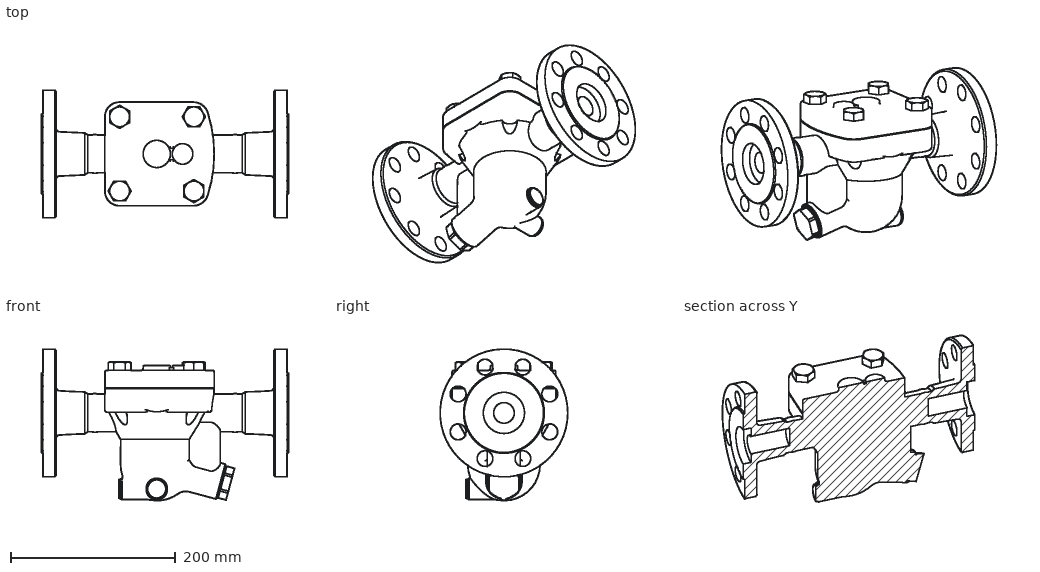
import cadquery as cq
import math

LENGTH = 300.0
FLANGE_DIA = 155.0
FLANGE_THICKNESS = 16.2
FLANGE_CHAMFER = 2.0
RAISED_FACE_DIA = 96.0
RAISED_FACE_HEIGHT = 2.0
BOLT_HOLE_DIA = 19.0
BOLT_CIRCLE_DIA = 120.0
BOLT_HOLE_COUNT = 8
HUB_FILLET = 4.0
HUB_ROOT_RADIUS = 27.0
HUB_TIP_RADIUS = 25.6
HUB_ROOT_X = 128.0
HUB_TIP_X = 97.5
HUB_TAPER_END_X = 93.5
PIPE_DIA = 46.0
WELD_OUTER_X = 88.7
WELD_INNER_X = 81.2
WELD_HEIGHT = 0.7
SOCKET_DIA = 50.0
SOCKET_DEPTH = 10.0
BORE_DIA = 25.0
BORE_END_X = 90.0

AXIS_X = -10.0
BODY_RADIUS = 44.0
BOWL_CENTRE_Z = -62.5
SHOULDER_Z = -32.2
CONE_BREAK_RADIUS = 51.5
CONE_BREAK_Z = -19.0
CONE_TOP_RADIUS = 64.7
CONE_TOP_Z = 4.4

BOLT_HALF_PITCH = 45.0
CORNER_RADIUS = 18.0
BOW_CORNER_RADIUS = 19.0
BOW_REACH = 69.8
BOW_REACH_BOTTOM = 67.5
BLOCK_BOTTOM_Z = 0.5
BLOCK_EDGE_FILLET = 3.5
JOINT_Z = 29.2
GASKET_THICKNESS = 1.0
GASKET_INSET = 0.2
COVER_TOP_Z = 51.6
COVER_EDGE_FILLET = 2.5
SPOTFACE_DIA = 19.0
SPOTFACE_DEPTH = 20.0

BOLT_ACROSS_FLATS = 24.0
BOLT_HEAD_HEIGHT = 10.2
HEAD_CHAMFER_HEIGHT = 1.2

PAD_HEIGHT = 6.0
LARGE_PAD_DIA = 33.0
SMALL_PAD_DIA = 25.0
PAD_SPACING = 31.3
PAD_BASE_FILLET = 3.0
PAD_EDGE_FILLET = 1.7
WEB_WIDTH = 13.6
WEB_HEIGHT = 3.4
PIN_DIA = 7.0
PIN_Z = 44.0
PIN_INSET = 0.8

BOSS_HALF_WIDTH = 20.0
BOSS_TOP_Z = 8.0
BOSS_BOTTOM_Z = -76.0
BOSS_END_X = 67.0
BOSS_CORNER_RADIUS = 12.0
NECK_TILT = 15.0
NECK_DIA = 44.0
NECK_LENGTH = 81.0
NECK_CHAMFER = 1.0
NECK_BLEND = 16.5
CAP_SEAL_DIA = 38.0
CAP_SEAL_THICKNESS = 1.5
CAP_ACROSS_FLATS = 36.0
CAP_CORNER_DIA = 40.0
CAP_HEIGHT = 9.9

DRAIN_DIA = 26.0
DRAIN_SHANK_LENGTH = 42.0
DRAIN_RIM_DIA = 25.0
DRAIN_RIM_LENGTH = 1.5
DRAIN_PLUG_DIA = 24.0
DRAIN_REACH = 46.0
DRAIN_CHAMFER = 1.0
DRAIN_Z = -92.2
DRAIN_FILLET = 3.5

HEX_CORNER_RATIO = 2 / math.sqrt(3)
PICK_MARGIN = 0.1


def cylinder(radius, height, origin, direction):
    return cq.Workplane(cq.Solid.makeCylinder(radius, height, cq.Vector(*origin), cq.Vector(*direction)))


def cone(base_radius, tip_radius, height, origin, direction):
    solid = cq.Solid.makeCone(base_radius, tip_radius, height, cq.Vector(*origin), cq.Vector(*direction))
    return cq.Workplane(solid)


def end_pipe():
    """Flanged pipe end on the +X side, from X = 0 to the sealing face."""
    face_x = LENGTH / 2
    flange_x = face_x - RAISED_FACE_HEIGHT
    flange_back_x = flange_x - FLANGE_THICKNESS
    flange_radius = FLANGE_DIA / 2
    pipe_radius = PIPE_DIA / 2
    weld_middle_x = (WELD_OUTER_X + WELD_INNER_X) / 2
    hub_fillet_middle = (
        flange_back_x - HUB_FILLET * (1 - math.sqrt(0.5)),
        HUB_ROOT_RADIUS + HUB_FILLET * (1 - math.sqrt(0.5)),
    )
    profile = (
        cq.Workplane("XY")
        .moveTo(0, 0)
        .lineTo(face_x, 0)
        .lineTo(face_x, RAISED_FACE_DIA / 2)
        .lineTo(flange_x, RAISED_FACE_DIA / 2 + RAISED_FACE_HEIGHT / 2)
        .lineTo(flange_x, flange_radius)
        .lineTo(flange_back_x + FLANGE_CHAMFER, flange_radius)
        .lineTo(flange_back_x, flange_radius - FLANGE_CHAMFER)
        .lineTo(flange_back_x, HUB_ROOT_RADIUS + HUB_FILLET)
        .threePointArc(hub_fillet_middle, (HUB_ROOT_X, HUB_ROOT_RADIUS))
        .lineTo(HUB_TIP_X, HUB_TIP_RADIUS)
        .lineTo(HUB_TAPER_END_X, pipe_radius)
        .lineTo(WELD_OUTER_X, pipe_radius)
        .threePointArc((weld_middle_x, pipe_radius + WELD_HEIGHT), (WELD_INNER_X, pipe_radius))
        .lineTo(0, pipe_radius)
        .close()
    )
    pipe = profile.revolve(360, (0, 0, 0), (1, 0, 0))
    for index in range(BOLT_HOLE_COUNT):
        angle = 2 * math.pi * (index + 0.5) / BOLT_HOLE_COUNT
        hole_y = BOLT_CIRCLE_DIA / 2 * math.cos(angle)
        hole_z = BOLT_CIRCLE_DIA / 2 * math.sin(angle)
        hole = cylinder(BOLT_HOLE_DIA / 2, FLANGE_THICKNESS, (flange_back_x, hole_y, hole_z), (1, 0, 0))
        pipe = pipe.cut(hole)
    return pipe


def end_bore():
    """Stepped blind bore of the +X pipe end."""
    socket = cylinder(SOCKET_DIA / 2, SOCKET_DEPTH, (LENGTH / 2, 0, 0), (-1, 0, 0))
    bore = cylinder(BORE_DIA / 2, LENGTH / 2 - BORE_END_X, (LENGTH / 2, 0, 0), (-1, 0, 0))
    return socket.union(bore)


def block_outline(z, bow_reach, inset=0.0):
    """Square with rounded corners whose +X side is a wide bow tangent to its corner arcs."""
    pitch = BOLT_HALF_PITCH
    corner = CORNER_RADIUS - inset
    bow_corner = BOW_CORNER_RADIUS - inset
    reach = bow_reach - inset
    side = pitch + corner
    bow_pitch = side - bow_corner
    gap = reach - bow_pitch
    bow_radius = (gap**2 + bow_pitch**2 - bow_corner**2) / (2 * (gap - bow_corner))
    bow_centre = reach - bow_radius
    bow_angle = math.atan2(bow_pitch, bow_pitch - bow_centre)
    join_x = bow_centre + bow_radius * math.cos(bow_angle)
    join_y = bow_radius * math.sin(bow_angle)
    corner_middle = (math.pi / 2 + bow_angle) / 2
    near_x = bow_pitch + bow_corner * math.cos(corner_middle)
    near_y = bow_pitch + bow_corner * math.sin(corner_middle)
    far = pitch + corner * math.sqrt(0.5)
    return (
        cq.Workplane("XY", origin=(AXIS_X, 0, z))
        .moveTo(-pitch, -side)
        .lineTo(bow_pitch, -side)
        .threePointArc((near_x, -near_y), (join_x, -join_y))
        .threePointArc((reach, 0), (join_x, join_y))
        .threePointArc((near_x, near_y), (bow_pitch, side))
        .lineTo(-pitch, side)
        .threePointArc((-far, far), (-side, pitch))
        .lineTo(-side, -pitch)
        .threePointArc((-far, -far), (-pitch, -side))
        .close()
    )


def lower_block():
    """Upper flange of the body; only its bowed +X side is drafted."""
    bottom = block_outline(BLOCK_BOTTOM_Z, BOW_REACH_BOTTOM).val()
    top = block_outline(JOINT_Z, BOW_REACH).val()
    block = cq.Workplane(cq.Solid.makeLoft([bottom, top], True))
    return block.faces("<Z").edges().fillet(BLOCK_EDGE_FILLET)


def cover_plate():
    cover_z = JOINT_Z + GASKET_THICKNESS
    plate = block_outline(cover_z, BOW_REACH).extrude(COVER_TOP_Z - cover_z)
    return plate.faces(">Z").edges().fillet(COVER_EDGE_FILLET)


def cover():
    """Cover on its gasket, with two round pads joined by a low web and blended into the top."""
    small_x = AXIS_X + PAD_SPACING
    large = cylinder(LARGE_PAD_DIA / 2, PAD_HEIGHT, (AXIS_X, 0, COVER_TOP_Z), (0, 0, 1))
    small = cylinder(SMALL_PAD_DIA / 2, PAD_HEIGHT, (small_x, 0, COVER_TOP_Z), (0, 0, 1))
    web = cq.Workplane("XY", origin=(AXIS_X + PAD_SPACING / 2, 0, COVER_TOP_Z))
    web = web.rect(PAD_SPACING, WEB_WIDTH).extrude(WEB_HEIGHT)
    body = cover_plate().union(large).union(small).union(web)
    base = cq.selectors.BoxSelector(
        (AXIS_X - LARGE_PAD_DIA, -LARGE_PAD_DIA, COVER_TOP_Z - PICK_MARGIN),
        (small_x + SMALL_PAD_DIA, LARGE_PAD_DIA, COVER_TOP_Z + PICK_MARGIN),
    )
    body = body.edges(base).fillet(PAD_BASE_FILLET)
    body = body.faces(">Z").edges().fillet(PAD_EDGE_FILLET)
    gasket = block_outline(JOINT_Z, BOW_REACH, GASKET_INSET).extrude(GASKET_THICKNESS)
    return body.union(gasket)


def neck_body():
    """Vertical body: cone, cylinder and hemispherical bowl, clipped to the block outline."""
    bowl_offset = BODY_RADIUS * math.sqrt(0.5)
    body = (
        cq.Workplane("XZ", origin=(AXIS_X, 0, 0))
        .moveTo(0, BOWL_CENTRE_Z - BODY_RADIUS)
        .threePointArc((bowl_offset, BOWL_CENTRE_Z - bowl_offset), (BODY_RADIUS, BOWL_CENTRE_Z))
        .lineTo(BODY_RADIUS, SHOULDER_Z)
        .lineTo(CONE_BREAK_RADIUS, CONE_BREAK_Z)
        .lineTo(CONE_TOP_RADIUS, CONE_TOP_Z)
        .lineTo(0, CONE_TOP_Z)
        .close()
        .revolve(360, (0, 0, 0), (0, 1, 0))
    )
    bottom_z = BOWL_CENTRE_Z - BODY_RADIUS
    clip = block_outline(bottom_z, BOW_REACH_BOTTOM).extrude(CONE_TOP_Z - bottom_z)
    return body.intersect(clip)


def bolt_positions():
    """Bolt centres in order around the body axis, each with its quarter-turn angle."""
    diagonal = BOLT_HALF_PITCH * math.sqrt(2)
    for quarter in range(4):
        turn = 90 * quarter
        angle = math.radians(turn + 45)
        yield AXIS_X + diagonal * math.cos(angle), diagonal * math.sin(angle), turn


def bolt_head(x, y, turn):
    """Hexagon head with its top corners turned down to the width across flats."""
    corner_dia = BOLT_ACROSS_FLATS * HEX_CORNER_RATIO
    head = (
        cq.Workplane("XY", origin=(x, y, COVER_TOP_Z))
        .transformed(rotate=(0, 0, turn))
        .polygon(6, corner_dia)
        .extrude(BOLT_HEAD_HEIGHT)
    )
    shank_height = BOLT_HEAD_HEIGHT - HEAD_CHAMFER_HEIGHT
    shank = cylinder(corner_dia / 2, shank_height, (x, y, COVER_TOP_Z), (0, 0, 1))
    crown_base = (x, y, COVER_TOP_Z + shank_height)
    crown = cone(corner_dia / 2, BOLT_ACROSS_FLATS / 2, HEAD_CHAMFER_HEIGHT, crown_base, (0, 0, 1))
    return head.intersect(shank.union(crown))


def spotface(x, y):
    return cylinder(SPOTFACE_DIA / 2, SPOTFACE_DEPTH, (x, y, BLOCK_BOTTOM_Z), (0, 0, -1))


def end_pin():
    pin_x = AXIS_X + BOW_REACH - PIN_INSET
    return cq.Workplane("XY").sphere(PIN_DIA / 2).translate((pin_x, 0, PIN_Z))


def side_boss():
    """Upright boss under the outlet pipe, running down into the inclined neck."""
    boss_length = BOSS_END_X - AXIS_X
    return (
        cq.Workplane("XY", origin=(AXIS_X + boss_length / 2, 0, BOSS_TOP_Z))
        .rect(boss_length, 2 * BOSS_HALF_WIDTH)
        .extrude(BOSS_BOTTOM_Z - BOSS_TOP_Z)
        .edges("|Z and >X")
        .fillet(BOSS_CORNER_RADIUS)
    )


def strainer_neck():
    """Inclined neck blended into the bowl, with its sealed hexagon cap."""
    radius = NECK_DIA / 2
    blend_r = radius + NECK_BLEND
    blend_x = math.sqrt((BODY_RADIUS + NECK_BLEND) ** 2 - blend_r**2)
    share = BODY_RADIUS / (BODY_RADIUS + NECK_BLEND)
    middle_angle = (math.atan2(blend_r, blend_x) + math.pi / 2) / 2
    middle = (blend_x - NECK_BLEND * math.cos(middle_angle), blend_r - NECK_BLEND * math.sin(middle_angle))
    neck = (
        cq.Workplane("XY")
        .moveTo(0, 0)
        .lineTo(NECK_LENGTH, 0)
        .lineTo(NECK_LENGTH, radius - NECK_CHAMFER)
        .lineTo(NECK_LENGTH - NECK_CHAMFER, radius)
        .lineTo(blend_x, radius)
        .threePointArc(middle, (share * blend_x, share * blend_r))
        .close()
        .revolve(360, (0, 0, 0), (1, 0, 0))
    )
    cap_x = NECK_LENGTH + CAP_SEAL_THICKNESS
    seal = cylinder(CAP_SEAL_DIA / 2, CAP_SEAL_THICKNESS, (NECK_LENGTH, 0, 0), (1, 0, 0))
    hexagon = (
        cq.Workplane("YZ", origin=(cap_x, 0, 0))
        .transformed(rotate=(0, 0, 90))
        .polygon(6, CAP_ACROSS_FLATS * HEX_CORNER_RATIO)
        .extrude(CAP_HEIGHT)
    )
    cap = hexagon.intersect(cylinder(CAP_CORNER_DIA / 2, CAP_HEIGHT, (cap_x, 0, 0), (1, 0, 0)))
    neck = neck.union(seal).union(cap)
    return neck.rotate((0, 0, 0), (0, 1, 0), NECK_TILT).translate((AXIS_X, 0, BOWL_CENTRE_Z))


def drain(turn):
    """Horizontal drain boss with a chamfered plug, pointing along -X and then turned about Z."""
    rim_end = DRAIN_SHANK_LENGTH + DRAIN_RIM_LENGTH
    plug_radius = DRAIN_PLUG_DIA / 2
    boss = (
        cq.Workplane("XY")
        .moveTo(0, 0)
        .lineTo(0, DRAIN_DIA / 2)
        .lineTo(-DRAIN_SHANK_LENGTH, DRAIN_DIA / 2)
        .lineTo(-rim_end, DRAIN_RIM_DIA / 2)
        .lineTo(-rim_end, plug_radius)
        .lineTo(-DRAIN_REACH + DRAIN_CHAMFER, plug_radius)
        .lineTo(-DRAIN_REACH, plug_radius - DRAIN_CHAMFER)
        .lineTo(-DRAIN_REACH, 0)
        .close()
        .revolve(360, (0, 0, 0), (1, 0, 0))
    )
    return boss.rotate((0, 0, 0), (0, 0, 1), turn).translate((AXIS_X, 0, DRAIN_Z))


def body_with_drains():
    """Body with a drain filleted into the bowl toward -X and a plain one toward -Y."""
    body = neck_body().union(drain(0))
    low_part = cq.selectors.BoxSelector(
        (AXIS_X - DRAIN_REACH, -DRAIN_DIA, BOWL_CENTRE_Z - BODY_RADIUS),
        (AXIS_X, DRAIN_DIA, BOWL_CENTRE_Z),
    )
    body = body.edges(low_part).edges("not %LINE").edges("not %CIRCLE").fillet(DRAIN_FILLET)
    return body.union(drain(90))


def valve_body():
    """Body with its drains, spotfaces under the block, side boss and strainer neck."""
    body = body_with_drains()
    for x, y, _ in bolt_positions():
        body = body.cut(spotface(x, y))
    return body.union(lower_block()).union(side_boss()).union(strainer_neck())


def both_ends(end):
    """The +X end feature and its mirror image."""
    return end.union(end.mirror("YZ"))


result = valve_body().union(both_ends(end_pipe())).cut(both_ends(end_bore()))
result = result.union(cover()).union(end_pin())
for bolt_x, bolt_y, bolt_turn in bolt_positions():
    result = result.union(bolt_head(bolt_x, bolt_y, bolt_turn))